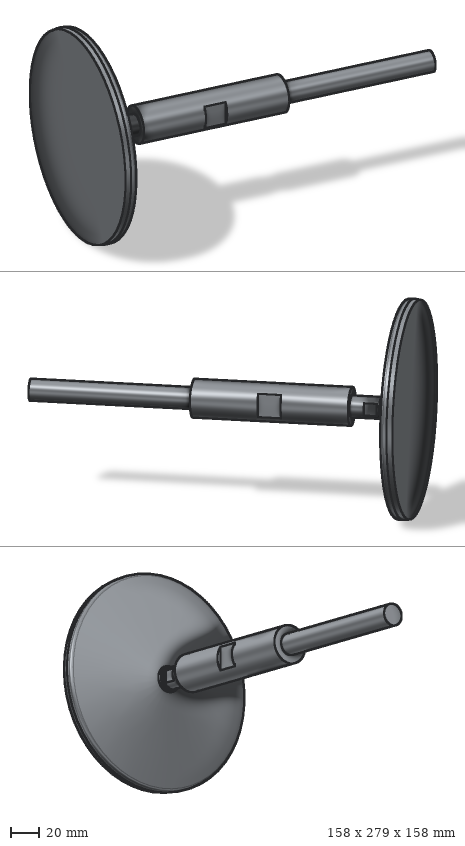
import cadquery as cq
import math

total_length = 279.0

foot_radius = 158.0 / 2
pad_floor_radius = foot_radius - 0.5
pad_thickness = 4.2
rim_top = 7.0

cone_angle = math.radians(10)
shoulder_fillet = 2.2
cone_top_radius = 9.5
fillet_center_radius = foot_radius - shoulder_fillet
cone_base_radius = fillet_center_radius + shoulder_fillet * math.sin(cone_angle)
cone_base_height = rim_top + shoulder_fillet * math.cos(cone_angle)
cone_top_height = cone_base_height + (cone_base_radius - cone_top_radius) * math.tan(cone_angle)

hub_radius = 8.6
hub_top = 23.0
socket_radius = 6.7
socket_floor = 11.2

rod_radius = 16.0 / 2
rod_start = 24.3
collar_radius = 28.0 / 2
collar_start = 45.8
collar_end = 160.5
collar_flat_width = 22.0
collar_flat_length = 16.7
collar_flat_start = (collar_start + collar_end - collar_flat_length) / 2
rod_flat_width = 13.0
rod_flat_length = 9.2
rod_flat_start = 26.2


def revolve_about_axis(profile):
    """Turn a closed (radius, height) profile about the Y axis."""
    return profile.close().revolve(360, (0, 0, 0), (0, 1, 0))


def cylinder(radius, start, end):
    """Cylinder on the Y axis between two heights."""
    return cq.Workplane("XZ", origin=(0, start, 0)).circle(radius).extrude(start - end)


def cut_wrench_flats(body, radius, flat_width, start, length):
    """Cut two opposite flats, facing -X and +X, into a round section."""
    depth = radius - flat_width / 2
    for side in (-1, 1):
        center = (side * (flat_width + depth) / 2, start + length / 2, 0)
        body = body.cut(cq.Workplane("XY", origin=center).box(depth, length, 2 * radius))
    return body


def make_pad():
    """Thin disc that widens slightly away from the floor."""
    profile = cq.Workplane("XY").polyline(
        [(0, 0), (pad_floor_radius, 0), (foot_radius, pad_thickness), (0, pad_thickness)]
    )
    return revolve_about_axis(profile)


def make_foot():
    """Cone with a rounded shoulder above the rim and a blind socket in its hub."""
    middle_angle = (math.pi / 2 - cone_angle) / 2
    fillet_middle = (
        fillet_center_radius + shoulder_fillet * math.cos(middle_angle),
        rim_top + shoulder_fillet * math.sin(middle_angle),
    )
    profile = (
        cq.Workplane("XY")
        .moveTo(0, pad_thickness)
        .lineTo(foot_radius, pad_thickness)
        .lineTo(foot_radius, rim_top)
        .threePointArc(fillet_middle, (cone_base_radius, cone_base_height))
        .lineTo(cone_top_radius, cone_top_height)
        .lineTo(hub_radius, hub_top)
        .lineTo(0, hub_top)
    )
    return revolve_about_axis(profile).cut(cylinder(socket_radius, socket_floor, hub_top))


def make_spindle():
    """Rod with a thick collar, wrench flats and a neck that fills the socket."""
    rod = cylinder(rod_radius, rod_start, total_length)
    rod = cut_wrench_flats(rod, rod_radius, rod_flat_width, rod_flat_start, rod_flat_length)
    collar = cylinder(collar_radius, collar_start, collar_end)
    spindle = rod.union(collar).union(cylinder(socket_radius, socket_floor, rod_start))
    return cut_wrench_flats(
        spindle, collar_radius, collar_flat_width, collar_flat_start, collar_flat_length
    )


pad = make_pad()
foot = make_foot()
spindle = make_spindle()

result = cq.Compound.makeCompound([pad.val(), foot.val(), spindle.val()])